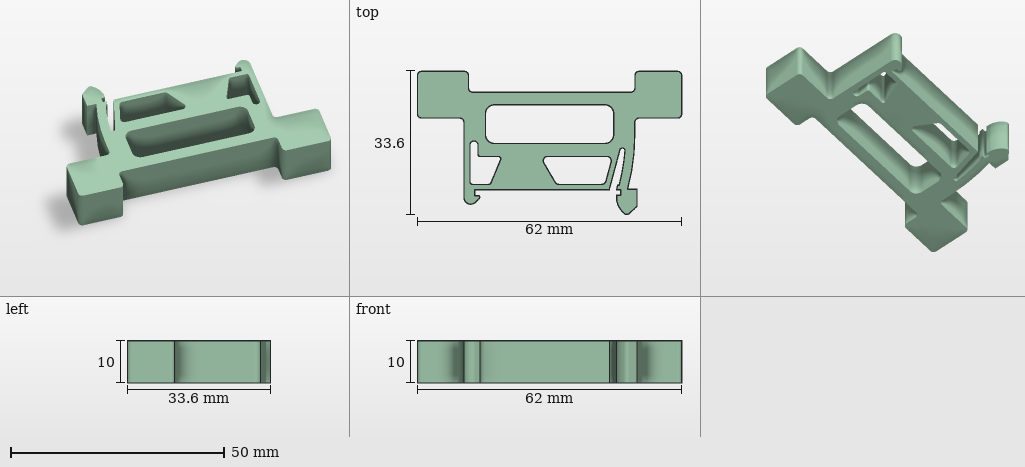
import cadquery as cq
import math


LENGTH = 62.0
THICKNESS = 10.0
TOTAL_DEPTH = 33.58
BLOCK_DEPTH = 11.0
LEFT_BLOCK_WIDTH = 12.0
RIGHT_BLOCK_WIDTH = 11.0
BLOCK_RADIUS = 1.0

SHELF_DEPTH = 4.9
BODY_LEFT = -20.1
BODY_RIGHT = 20.0
BASE_DEPTH = 27.8
BASE_RIGHT = 14.0
SLANT_ANGLE = 15.0

WINDOW_WIDTH = 30.0
WINDOW_HEIGHT = 9.0
WINDOW_TOP_DEPTH = 7.9
WINDOW_RADIUS = 2.0

POCKET_TOP_DEPTH = 20.0
POCKET_FLOOR_DEPTH = 26.5
LEFT_WALL = 1.45
RELIEF_WIDTH = 1.85
RELIEF_TOP_DEPTH = 16.4
RELIEF_RADIUS = 0.9
LEFT_POCKET_TOP_RIGHT = -11.2
LEFT_POCKET_FLOOR_RIGHT = -13.9
LEFT_POCKET_RADIUS = 0.5
RIGHT_POCKET_TOP_LEFT = -2.2
RIGHT_POCKET_FLOOR_LEFT = 1.6
SLANTED_WALL = 1.3
RIGHT_POCKET_RADIUS = 1.0

HOOK_INNER = -17.5
HOOK_LEDGE_DEPTH = 29.15
HOOK_END_RADIUS = 1.6
HOOK_END_DEPTH = 31.2
HOOK_TIP_RADIUS = 0.4

ARM_START_DEPTH = 15.0
ARM_OUTER_RADIUS = 48.0
ARM_THICKNESS = 2.2
SLOT_TOP_DEPTH = 18.05
SLOT_END_RADIUS = 0.5

HEAD_LEFT = 15.7
HEAD_RIGHT = 20.55
HEAD_TOP_DEPTH = 27.65
HEAD_CHAMFER_DEPTH = 31.65
TOOTH_TOP_DEPTH = 26.7
TOOTH_TOP_X = 15.9
NOTCH_X = 16.65
NOTCH_FLOOR_DEPTH = 29.05
NOSE_START_DEPTH = 30.2
NOSE_MIDDLE = (16.35, -32.0)
NOSE_LEFT = 17.5
NOSE_RIGHT = 18.7
NOSE_CENTER = (NOSE_LEFT + NOSE_RIGHT) / 2
NOSE_SHOULDER_DEPTH = 33.35

HALF_LENGTH = LENGTH / 2
LEFT_BLOCK_INNER = -HALF_LENGTH + LEFT_BLOCK_WIDTH
RIGHT_BLOCK_INNER = HALF_LENGTH - RIGHT_BLOCK_WIDTH
SLANT = math.tan(math.radians(SLANT_ANGLE))


def slanted_face_x(depth):
    """X of the slanted right face of the body at a given depth."""
    return BASE_RIGHT + (BASE_DEPTH - depth) * SLANT


def arm_x(depth, radius):
    """X on an arc about the centre of the arm's curvature at a given depth."""
    center_x = BODY_RIGHT - ARM_OUTER_RADIUS
    return center_x + math.sqrt(radius**2 - (depth - ARM_START_DEPTH) ** 2)


def round_corners(solid, corners, radius):
    """Fillet the upright edges that stand on the given XY corners."""
    upright_edges = solid.edges("|Z")
    edges = []
    for x, y in corners:
        nearest = cq.NearestToPointSelector((x, y, THICKNESS / 2))
        edges.append(upright_edges.edges(nearest).val())
    return solid.newObject([solid.val().fillet(radius, edges)])


def prism(points):
    """Full-thickness solid on a straight-sided XY outline."""
    return cq.Workplane("XY").polyline(points).close().extrude(THICKNESS)


def make_body():
    """Outer profile, traced clockwise from the top left, with the hook and latch arm."""
    arm_inner_radius = ARM_OUTER_RADIUS - ARM_THICKNESS
    arm_middle_depth = (ARM_START_DEPTH + HEAD_TOP_DEPTH) / 2
    slot_middle_depth = (SLOT_TOP_DEPTH + TOOTH_TOP_DEPTH) / 2
    slot_top_left = (slanted_face_x(SLOT_TOP_DEPTH), -SLOT_TOP_DEPTH)
    slot_top_right = (arm_x(SLOT_TOP_DEPTH, arm_inner_radius), -SLOT_TOP_DEPTH)

    hook_center_x = BODY_LEFT + HOOK_END_RADIUS
    hook_center_y = -HOOK_END_DEPTH + HOOK_END_RADIUS
    diagonal = HOOK_END_RADIUS * math.sqrt(0.5)
    hook_arc_end = (hook_center_x + diagonal, hook_center_y - diagonal)
    hook_tip = (hook_arc_end[0] - HOOK_LEDGE_DEPTH - hook_arc_end[1], -HOOK_LEDGE_DEPTH)

    block_corners = [
        (-HALF_LENGTH, 0),
        (LEFT_BLOCK_INNER, 0),
        (LEFT_BLOCK_INNER, -SHELF_DEPTH),
        (RIGHT_BLOCK_INNER, -SHELF_DEPTH),
        (RIGHT_BLOCK_INNER, 0),
        (HALF_LENGTH, 0),
        (HALF_LENGTH, -BLOCK_DEPTH),
        (BODY_RIGHT, -BLOCK_DEPTH),
        (BODY_LEFT, -BLOCK_DEPTH),
        (-HALF_LENGTH, -BLOCK_DEPTH),
    ]
    profile = (
        cq.Workplane("XY")
        .polyline(block_corners[:8])
        .lineTo(BODY_RIGHT, -ARM_START_DEPTH)
        .threePointArc(
            (arm_x(arm_middle_depth, ARM_OUTER_RADIUS), -arm_middle_depth),
            (arm_x(HEAD_TOP_DEPTH, ARM_OUTER_RADIUS), -HEAD_TOP_DEPTH),
        )
        .lineTo(HEAD_RIGHT, -HEAD_TOP_DEPTH)
        .lineTo(HEAD_RIGHT, -HEAD_CHAMFER_DEPTH)
        .lineTo(NOSE_RIGHT, -NOSE_SHOULDER_DEPTH)
        .threePointArc((NOSE_CENTER, -TOTAL_DEPTH), (NOSE_LEFT, -NOSE_SHOULDER_DEPTH))
        .threePointArc(NOSE_MIDDLE, (HEAD_LEFT, -NOSE_START_DEPTH))
        .lineTo(HEAD_LEFT, -NOTCH_FLOOR_DEPTH)
        .lineTo(NOTCH_X, -NOTCH_FLOOR_DEPTH)
        .lineTo(NOTCH_X, -BASE_DEPTH)
        .lineTo(HEAD_LEFT, -BASE_DEPTH)
        .lineTo(TOOTH_TOP_X, -TOOTH_TOP_DEPTH)
        .lineTo(arm_x(TOOTH_TOP_DEPTH, arm_inner_radius), -TOOTH_TOP_DEPTH)
        .threePointArc((arm_x(slot_middle_depth, arm_inner_radius), -slot_middle_depth), slot_top_right)
        .lineTo(*slot_top_left)
        .lineTo(BASE_RIGHT, -BASE_DEPTH)
        .lineTo(HOOK_INNER, -BASE_DEPTH)
        .lineTo(HOOK_INNER, -HOOK_LEDGE_DEPTH)
        .lineTo(*hook_tip)
        .lineTo(*hook_arc_end)
        .threePointArc((hook_center_x, -HOOK_END_DEPTH), (BODY_LEFT, hook_center_y))
        .lineTo(*block_corners[8])
        .lineTo(*block_corners[9])
        .close()
    )
    body = profile.extrude(THICKNESS)
    body = round_corners(body, block_corners, BLOCK_RADIUS)
    body = round_corners(body, [slot_top_left, slot_top_right], SLOT_END_RADIUS)
    return round_corners(body, [hook_tip], HOOK_TIP_RADIUS)


def make_window():
    """Rounded rectangular opening below the shelf."""
    center_y = -WINDOW_TOP_DEPTH - WINDOW_HEIGHT / 2
    window = cq.Workplane("XY").center(0, center_y).rect(WINDOW_WIDTH, WINDOW_HEIGHT).extrude(THICKNESS)
    return window.edges("|Z").fillet(WINDOW_RADIUS)


def make_left_pocket():
    """Pocket beside the hook with a narrow relief running up from it."""
    left = BODY_LEFT + LEFT_WALL
    relief_right = left + RELIEF_WIDTH
    relief_top = [(left, -RELIEF_TOP_DEPTH), (relief_right, -RELIEF_TOP_DEPTH)]
    lower = [
        (relief_right, -POCKET_TOP_DEPTH),
        (LEFT_POCKET_TOP_RIGHT, -POCKET_TOP_DEPTH),
        (LEFT_POCKET_FLOOR_RIGHT, -POCKET_FLOOR_DEPTH),
        (left, -POCKET_FLOOR_DEPTH),
    ]
    pocket = round_corners(prism(relief_top + lower), lower, LEFT_POCKET_RADIUS)
    return round_corners(pocket, relief_top, RELIEF_RADIUS)


def make_right_pocket():
    """Four-sided pocket whose right side runs parallel to the slanted face."""
    wall_along_x = SLANTED_WALL / math.cos(math.radians(SLANT_ANGLE))
    corners = [
        (RIGHT_POCKET_TOP_LEFT, -POCKET_TOP_DEPTH),
        (slanted_face_x(POCKET_TOP_DEPTH) - wall_along_x, -POCKET_TOP_DEPTH),
        (slanted_face_x(POCKET_FLOOR_DEPTH) - wall_along_x, -POCKET_FLOOR_DEPTH),
        (RIGHT_POCKET_FLOOR_LEFT, -POCKET_FLOOR_DEPTH),
    ]
    return prism(corners).edges("|Z").fillet(RIGHT_POCKET_RADIUS)


result = make_body().cut(make_window()).cut(make_left_pocket()).cut(make_right_pocket())